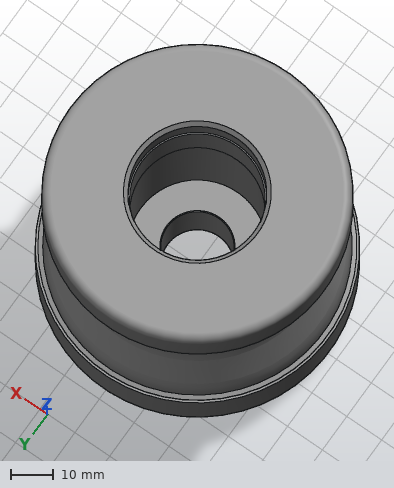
import cadquery as cq
import math

total_height = 63.5
base_radius = 38.1

base_height = 15.9
base_fillet = 4.05
base_hole_radius = 8.6
base_hole_chamfer = 0.2

lip_radius = 37.5
lip_height = 0.2
flare_height = 0.4
shoulder_radius = 36.35
shoulder_height = 5.65
shoulder_inset = 1.1
cone_top_radius = 32.1
cone_top_z = 30.7

waist_lower = (31.0, 35.65)
waist_upper = (31.25, 41.2)
waist_neck = (33.4, 47.55)

head_radius = 36.6
head_fillet = 2.1
head_bottom_z = 53.6
head_curve_height = 3.35
head_curve_inset = 1.3

bore_radius = 16.3
bore_chamfer = 1.1
land_radius = 15.9
land_depth = 6.2
land_length = 11.9


def rounded_edge_midpoint(upright_radius, upright_z, inset, rise):
    """Middle of an arc that leaves an upright wall tangentially and moves in by inset over rise."""
    arc_radius = (inset**2 + rise**2) / (2 * inset)
    sweep = math.asin(abs(rise) / arc_radius)
    mid_inset = arc_radius * (1 - math.cos(sweep / 2))
    mid_rise = math.copysign(arc_radius * math.sin(sweep / 2), rise)
    return upright_radius - mid_inset, upright_z + mid_rise


def make_base():
    """Disc with a rounded lower rim and a chamfered centre hole."""
    disc = cq.Workplane("XY").circle(base_radius).extrude(base_height)
    disc = disc.faces("<Z").edges().fillet(base_fillet)
    disc = disc.faces(">Z").workplane().circle(base_hole_radius).cutThruAll()
    hole_rim = disc.faces(">Z").edges(cq.selectors.RadiusNthSelector(0))
    return hole_rim.chamfer(base_hole_chamfer)


def make_spool_blank():
    """Solid of revolution with the waisted outer outline."""
    lip_top_z = base_height + lip_height
    shoulder_z = lip_top_z + flare_height
    cone_bottom = (shoulder_radius - shoulder_inset, shoulder_z + shoulder_height)
    cone_top = (cone_top_radius, cone_top_z)
    neck_top = (head_radius - head_curve_inset, head_bottom_z - head_curve_height)
    shoulder_mid = rounded_edge_midpoint(shoulder_radius, shoulder_z, shoulder_inset, shoulder_height)
    head_mid = rounded_edge_midpoint(head_radius, head_bottom_z, head_curve_inset, -head_curve_height)
    cone_direction = (cone_top[0] - cone_bottom[0], cone_top[1] - cone_bottom[1])
    neck_angle = 2 * math.atan(head_curve_inset / head_curve_height)
    neck_direction = (math.sin(neck_angle), math.cos(neck_angle))

    outline = (
        cq.Workplane("XZ")
        .moveTo(0, base_height)
        .lineTo(lip_radius, base_height)
        .lineTo(lip_radius, lip_top_z)
        .lineTo(shoulder_radius, shoulder_z)
        .threePointArc(shoulder_mid, cone_bottom)
        .lineTo(*cone_top)
        .spline(
            [waist_lower, waist_upper, waist_neck, neck_top],
            tangents=[cone_direction, neck_direction],
            includeCurrent=True,
        )
        .threePointArc(head_mid, (head_radius, head_bottom_z))
        .lineTo(head_radius, total_height)
        .lineTo(0, total_height)
        .close()
    )
    blank = outline.revolve(360, (0, 0, 0), (0, 1, 0))
    return blank.faces(">Z").edges().fillet(head_fillet)


def make_bore_cutter():
    """Stepped bore, open at both ends of the spool, with a chamfered mouth."""
    land_top_z = total_height - land_depth
    land_bottom_z = land_top_z - land_length
    return (
        cq.Workplane("XZ")
        .moveTo(0, base_height)
        .lineTo(bore_radius, base_height)
        .lineTo(bore_radius, land_bottom_z)
        .lineTo(land_radius, land_bottom_z)
        .lineTo(land_radius, land_top_z)
        .lineTo(bore_radius, land_top_z)
        .lineTo(bore_radius, total_height - bore_chamfer)
        .lineTo(bore_radius + bore_chamfer, total_height)
        .lineTo(0, total_height)
        .close()
        .revolve(360, (0, 0, 0), (0, 1, 0))
    )


base = make_base()
spool = make_spool_blank().cut(make_bore_cutter())

result = cq.Compound.makeCompound([base.val(), spool.val()])